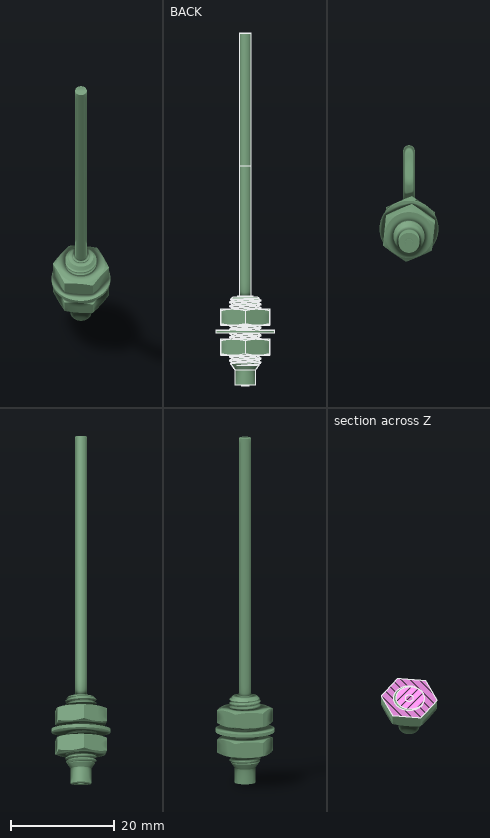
import cadquery as cq
import math

total_height = 68.4
pin_bottom = 0.2
taper_bottom = 3.15
taper_top = 4.6
lower_nut_bottom = 5.95
washer_bottom = 10.25
upper_nut_bottom = 11.8
housing_top = 17.3
boss_height = 0.2
boss_top = housing_top + boss_height
jacket_joint = 42.7

pin_diameter = 4.05
thread_diameter = 6.0
top_face_diameter = 4.8
boss_diameter = 3.1

thread_pitch = 0.75
thread_depth = 0.4
thread_flat = thread_pitch / 8
groove_start = 2.3
groove_turns = 22
seam_angle = 37
groove_overshoot = 0.1

nut_across_flats = 9.5
nut_face_diameter = 9.25
nut_chamfer_height = 0.35
nut_height = 3.2

washer_diameter = 11.4
washer_thickness = 0.6

jacket_diameter = 2.25
core_diameter = 1.45


def cylinder(diameter, bottom, top):
    return cq.Workplane("XY").workplane(offset=bottom).circle(diameter / 2).extrude(top - bottom)


def tube(outer_diameter, inner_diameter, bottom, top):
    return cylinder(outer_diameter, bottom, top).cut(cylinder(inner_diameter, bottom, top))


def groove_turn():
    """One right-handed turn of the thread groove as a cutter with sloping flanks."""
    root_radius = thread_diameter / 2 - thread_depth
    outer_radius = thread_diameter / 2 + groove_overshoot
    root_half_width = thread_flat / 2
    crest_half_width = (thread_pitch - thread_flat) / 2
    helix = cq.Wire.makeHelix(thread_pitch, thread_pitch, root_radius)
    profile = cq.Workplane("XZ").polyline([
        (root_radius, -root_half_width),
        (outer_radius, -crest_half_width),
        (outer_radius, crest_half_width),
        (root_radius, root_half_width),
    ]).close()
    return profile.sweep(cq.Workplane(helix), isFrenet=True)


def cut_thread(body):
    """Cut the groove turn by turn, so that it runs out in the air at both ends."""
    turn = groove_turn()
    for index in range(groove_turns):
        body = body.cut(turn.translate((0, 0, groove_start + index * thread_pitch)))
    return body


def make_housing():
    """Threaded barrel with a plain pin below, a low boss on top and a bore for the cable."""
    pin_radius = pin_diameter / 2
    thread_radius = thread_diameter / 2
    top_face_radius = top_face_diameter / 2
    boss_radius = boss_diameter / 2
    top_chamfer = thread_radius - top_face_radius
    profile = [
        (0, pin_bottom),
        (pin_radius, pin_bottom),
        (pin_radius, taper_bottom),
        (thread_radius, taper_top),
        (thread_radius, housing_top - top_chamfer),
        (top_face_radius, housing_top),
        (boss_radius, housing_top),
        (boss_radius, boss_top),
        (0, boss_top),
    ]
    body = cq.Workplane("XZ").polyline(profile).close().revolve(360, (0, 0), (0, 1))
    body = cut_thread(body.rotate((0, 0, 0), (0, 0, 1), seam_angle))
    return body.cut(cylinder(core_diameter, pin_bottom, boss_top))


def make_nut(bottom):
    """Hexagon nut with two corners on the Y axis and both faces chamfered in a cone."""
    corner_diameter = nut_across_flats / math.cos(math.radians(30))
    corner_radius = corner_diameter / 2
    face_radius = nut_face_diameter / 2
    hexagon = (
        cq.Workplane("XY").polygon(6, corner_diameter).extrude(nut_height)
        .rotate((0, 0, 0), (0, 0, 1), 90)
    )
    chamfer_envelope = cq.Workplane("XZ").polyline([
        (0, 0),
        (face_radius, 0),
        (corner_radius, nut_chamfer_height),
        (corner_radius, nut_height - nut_chamfer_height),
        (face_radius, nut_height),
        (0, nut_height),
    ]).close().revolve(360, (0, 0), (0, 1))
    bore = cylinder(thread_diameter, 0, nut_height)
    return hexagon.intersect(chamfer_envelope).cut(bore).translate((0, 0, bottom))


housing = make_housing()
nuts = [make_nut(bottom) for bottom in (lower_nut_bottom, upper_nut_bottom)]
washer = tube(washer_diameter, thread_diameter, washer_bottom, washer_bottom + washer_thickness)

core = cylinder(core_diameter, 0, total_height)
jacket_ends = [(boss_top, jacket_joint), (jacket_joint, total_height)]
jackets = [tube(jacket_diameter, core_diameter, bottom, top) for bottom, top in jacket_ends]

result = cq.Compound.makeCompound([
    *housing.solids().vals(),
    *[nut.val() for nut in nuts],
    washer.val(),
    core.val(),
    *[jacket.val() for jacket in jackets],
])